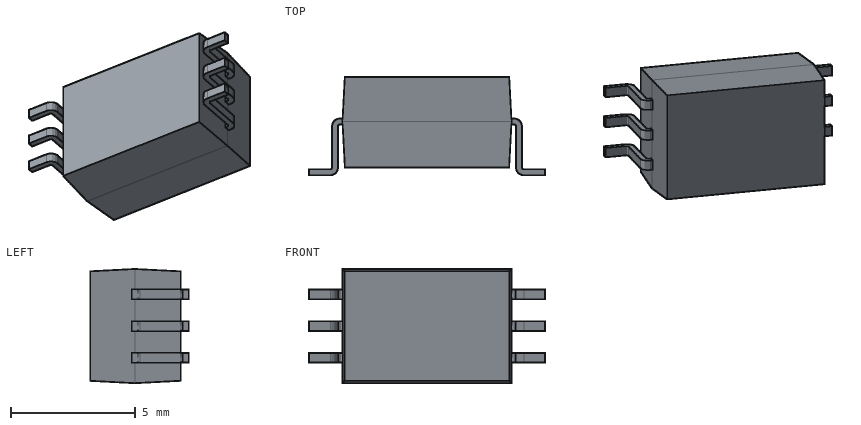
import cadquery as cq
import math

HOUSING_WIDTH = 6.8
HOUSING_HEIGHT = 4.6
FRONT_DEPTH = 1.85
BACK_DEPTH = 1.8
DRAFT_ANGLE = 3.0

LEAD_SPAN = 9.5
LEAD_COUNT = 3
LEAD_PITCH = 1.27
LEAD_WIDTH = 0.4
LEAD_THICKNESS = 0.25
FOOT_REACH = 1.18
STANDOFF = 0.31
INNER_BEND_RADIUS = 0.08
OUTER_BEND_RADIUS = INNER_BEND_RADIUS + LEAD_THICKNESS

SOLE_Y = -(FRONT_DEPTH + STANDOFF)
FOOT_TIP_X = LEAD_SPAN / 2
LEG_INNER_X = FOOT_TIP_X - FOOT_REACH
LEG_OUTER_X = LEG_INNER_X + LEAD_THICKNESS

SHOULDER_TOP_Y = LEAD_THICKNESS / 2
SHOULDER_END_X = HOUSING_WIDTH / 2 - LEAD_THICKNESS / 2


def make_housing_half(depth, direction):
    """Half of the housing, tapering away from the parting plane along +Y or -Y."""
    parting_plane = cq.Plane(origin=(0, 0, 0), xDir=(1, 0, 0), normal=(0, direction, 0))
    return (
        cq.Workplane(parting_plane)
        .rect(HOUSING_WIDTH, HOUSING_HEIGHT)
        .extrude(depth, taper=DRAFT_ANGLE)
    )


def make_housing():
    """One moulded block, made of the front and back halves."""
    return make_housing_half(FRONT_DEPTH, -1).union(make_housing_half(BACK_DEPTH, 1))


def bend_middle(center_x, center_y, radius, angle):
    """Point on a bend arc at the given angle in degrees."""
    return (
        center_x + radius * math.cos(math.radians(angle)),
        center_y + radius * math.sin(math.radians(angle)),
    )


def make_lead_strip():
    """S-shaped strip of a +X lead, centred on Z = 0, before it is trimmed to the wall."""
    upper_x = LEG_OUTER_X - OUTER_BEND_RADIUS
    upper_y = SHOULDER_TOP_Y - OUTER_BEND_RADIUS
    lower_x = LEG_INNER_X + OUTER_BEND_RADIUS
    lower_y = SOLE_Y + OUTER_BEND_RADIUS
    foot_top_y = SOLE_Y + LEAD_THICKNESS
    shoulder_bottom_y = SHOULDER_TOP_Y - LEAD_THICKNESS

    return (
        cq.Workplane("XY", origin=(0, 0, -LEAD_WIDTH / 2))
        .moveTo(SHOULDER_END_X, SHOULDER_TOP_Y)
        .lineTo(upper_x, SHOULDER_TOP_Y)
        .threePointArc(bend_middle(upper_x, upper_y, OUTER_BEND_RADIUS, 45), (LEG_OUTER_X, upper_y))
        .lineTo(LEG_OUTER_X, lower_y)
        .threePointArc(bend_middle(lower_x, lower_y, INNER_BEND_RADIUS, 225), (lower_x, foot_top_y))
        .lineTo(FOOT_TIP_X, foot_top_y)
        .lineTo(FOOT_TIP_X, SOLE_Y)
        .lineTo(lower_x, SOLE_Y)
        .threePointArc(bend_middle(lower_x, lower_y, OUTER_BEND_RADIUS, 225), (LEG_INNER_X, lower_y))
        .lineTo(LEG_INNER_X, upper_y)
        .threePointArc(bend_middle(upper_x, upper_y, INNER_BEND_RADIUS, 45), (upper_x, shoulder_bottom_y))
        .lineTo(SHOULDER_END_X, shoulder_bottom_y)
        .close()
        .extrude(LEAD_WIDTH)
    )


def make_leads(housing):
    """Both rows of leads, each lead a separate solid ending on the housing wall."""
    right_lead = make_lead_strip().cut(housing)
    left_lead = right_lead.mirror("YZ")
    leads = []
    for index in range(LEAD_COUNT):
        lead_z = (index - (LEAD_COUNT - 1) / 2) * LEAD_PITCH
        for lead in (right_lead, left_lead):
            leads.append(lead.translate((0, 0, lead_z)).solids().val())
    return leads


housing = make_housing()
leads = make_leads(housing)

result = cq.Compound.makeCompound([housing.solids().val(), *leads])